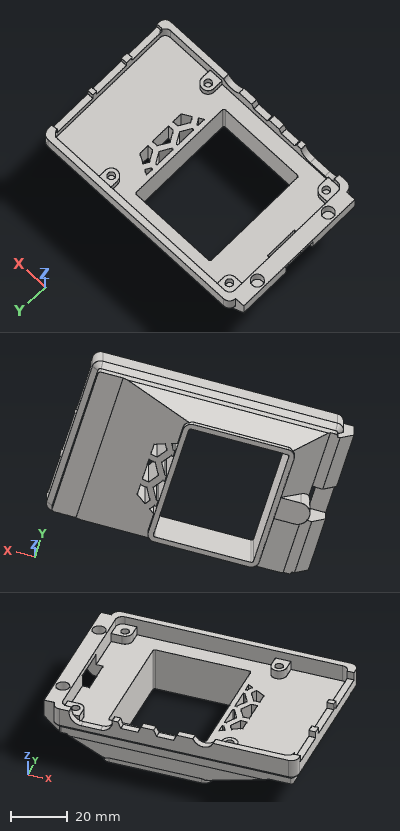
import cadquery as cq
import math

LENGTH = 96.0
WIDTH = 62.0
HEIGHT = 23.6

BODY_LEFT = 4.0
CORNER_RADIUS = 3.0
FOOT_INSET = 2.0
UPPER_WALL_HEIGHT = 7.1
TRAY_HEIGHT = 11.7
FOOT_HEIGHT = TRAY_HEIGHT - UPPER_WALL_HEIGHT - FOOT_INSET
TRAY_BOTTOM = HEIGHT - TRAY_HEIGHT
BODY_LENGTH = LENGTH - BODY_LEFT
BODY_CENTER_X = BODY_LEFT + BODY_LENGTH / 2

CAVITY_LEFT = 6.4
SIDE_WALL = 2.6
CAVITY_RIGHT = LENGTH - SIDE_WALL
CAVITY_HALF_WIDTH = WIDTH / 2 - SIDE_WALL
CAVITY_DEPTH = 6.6
CAVITY_RADIUS = 2.6
FLOOR_Z = HEIGHT - CAVITY_DEPTH

BAR_WIDTH = WIDTH - 2 * CORNER_RADIUS
BAR_FACE_HEIGHT = 6.8
BAR_UNDERCUT_X = 5.2
BAR_HOLE_DIAMETER = 4.9
BAR_HOLE_DEPTH = 5.0
BAR_HOLE_X = 3.3
BAR_HOLE_Y = 17.9

LATCH_WIDTH = 13.4
LATCH_END_X = 9.0
LATCH_ROOF_DEPTH = 2.2

RIM_LEFT = 20.1
RIM_RIGHT = 60.8
RIM_WIDTH = 48.7
RIM_HEIGHT = 1.9
WINDOW_MARGIN = 2.0
WINDOW_RADIUS = 0.8
HOOD_LEFT = 9.0
HOOD_RIGHT = 85.0
HOOD_STRAIGHT_HEIGHT = 0.7

POST_DIAMETER = 8.6
POST_X = 12.4

BOSS_DIAMETER = 5.9
BOSS_HOLE_DIAMETER = 3.0
BOSS_TOP_DEPTH = 3.2
BOSS_X = (10.6, 68.4)
BOSS_Y = 24.4

NOTCH_DEPTH = 2.5
ROUND_SLOT_LEFT = 10.7
ROUND_SLOT_RIGHT = 26.8
ROUND_SLOT_DEPTH = 5.2
ROUND_SLOT_RADIUS = 4.4
TAPERED_NOTCHES_LEFT = (29.0, 42.4)
TAPERED_NOTCH_WIDTH = 8.5
TAPERED_NOTCH_SIDE = 1.1
SCOOP_X = 61.0
SCOOP_WIDTH = 7.6

DEEP_SILL_DEPTH = 3.2

RIGHT_SILLS = (
    (-26.9, -11.8, NOTCH_DEPTH),
    (-8.9, 6.0, NOTCH_DEPTH),
    (8.0, 26.0, DEEP_SILL_DEPTH),
)

VENT_LEFT = RIM_RIGHT
VENT_RIGHT = 68.1
VENT_HALF_WIDTH_LEFT = 14.6
HEX_FLATS = 8.1
HEX_PITCH = 10.4
VENT_END_ANGLE = 30
HALF_HEX_ANGLE = math.radians(30)


def box(x_range, y_range, z_range):
    """Box between the given limits."""
    size = [high - low for low, high in (x_range, y_range, z_range)]
    return cq.Workplane("XY").box(*size, centered=False).translate((x_range[0], y_range[0], z_range[0]))


def xz_prism(points, width):
    """Outline in X and Z extruded symmetrically about the mid plane."""
    return cq.Workplane("XZ").polyline(points).close().extrude(width / 2, both=True)


def make_tray():
    upper = (
        cq.Workplane("XY", origin=(BODY_CENTER_X, 0, TRAY_BOTTOM + FOOT_HEIGHT))
        .rect(BODY_LENGTH, WIDTH)
        .extrude(UPPER_WALL_HEIGHT + FOOT_INSET)
        .edges("|Z").fillet(CORNER_RADIUS)
        .faces("<Z").chamfer(FOOT_INSET)
    )
    foot = (
        cq.Workplane("XY", origin=(BODY_CENTER_X, 0, TRAY_BOTTOM))
        .rect(BODY_LENGTH - 2 * FOOT_INSET, WIDTH - 2 * FOOT_INSET)
        .extrude(FOOT_HEIGHT)
        .edges("|Z").fillet(CORNER_RADIUS - FOOT_INSET)
    )
    bar_outline = [
        (0, HEIGHT),
        (0, HEIGHT - BAR_FACE_HEIGHT),
        (BAR_UNDERCUT_X, TRAY_BOTTOM),
        (LATCH_END_X, TRAY_BOTTOM),
        (LATCH_END_X, HEIGHT),
    ]
    return upper.union(foot).union(xz_prism(bar_outline, BAR_WIDTH))


def make_hood():
    """Four sloping sides that run on to the lowest face inside the rim."""
    slope_height = TRAY_BOTTOM - RIM_HEIGHT
    left_run = (RIM_LEFT - HOOD_LEFT) * TRAY_BOTTOM / slope_height
    right_run = (HOOD_RIGHT - RIM_RIGHT) * TRAY_BOTTOM / slope_height
    end_profile = [
        (HOOD_LEFT, TRAY_BOTTOM),
        (HOOD_RIGHT, TRAY_BOTTOM),
        (HOOD_RIGHT - right_run, 0),
        (HOOD_LEFT + left_run, 0),
    ]
    top_half = WIDTH / 2 - FOOT_INSET
    lean_top = TRAY_BOTTOM - HOOD_STRAIGHT_HEIGHT
    bottom_half = top_half - (top_half - RIM_WIDTH / 2) * lean_top / (lean_top - RIM_HEIGHT)
    side_profile = [
        (top_half, TRAY_BOTTOM),
        (top_half, lean_top),
        (bottom_half, 0),
        (-bottom_half, 0),
        (-top_half, lean_top),
        (-top_half, TRAY_BOTTOM),
    ]
    side_prism = cq.Workplane("YZ").polyline(side_profile).close().extrude(LENGTH)
    return xz_prism(end_profile, WIDTH).intersect(side_prism)


def make_rim():
    return (
        cq.Workplane("XY", origin=((RIM_LEFT + RIM_RIGHT) / 2, 0, 0))
        .rect(RIM_RIGHT - RIM_LEFT, RIM_WIDTH)
        .extrude(RIM_HEIGHT)
        .edges("|Z").fillet(CORNER_RADIUS)
    )


def make_post():
    """Round-nosed post whose flat sides run back into the hood."""
    radius = POST_DIAMETER / 2
    nose = (
        cq.Workplane("XY", origin=(POST_X, 0, RIM_HEIGHT))
        .circle(radius)
        .extrude(TRAY_BOTTOM - RIM_HEIGHT)
    )
    return nose.union(box((POST_X, RIM_LEFT), (-radius, radius), (RIM_HEIGHT, TRAY_BOTTOM)))


def make_cavity():
    return (
        cq.Workplane("XY", origin=((CAVITY_LEFT + CAVITY_RIGHT) / 2, 0, FLOOR_Z))
        .rect(CAVITY_RIGHT - CAVITY_LEFT, 2 * CAVITY_HALF_WIDTH)
        .extrude(CAVITY_DEPTH)
        .edges("|Z").fillet(CAVITY_RADIUS)
    )


def make_bosses(cavity):
    """Rounded pads joined to the long walls; the left pair also joins the end wall."""
    radius = BOSS_DIAMETER / 2
    z_range = (FLOOR_Z, HEIGHT - BOSS_TOP_DEPTH)
    bosses = cq.Workplane("XY")
    for x in BOSS_X:
        near_left_wall = x - radius < CAVITY_LEFT + radius
        for side in (-1, 1):
            y = side * BOSS_Y
            wall_y_range = sorted((y, side * CAVITY_HALF_WIDTH))
            pad = box((x - radius, x + radius), wall_y_range, z_range)
            pad = pad.union(
                cq.Workplane("XY", origin=(x, y, FLOOR_Z)).circle(radius).extrude(z_range[1] - FLOOR_Z)
            )
            if near_left_wall:
                corner_y_range = sorted((y - side * radius, side * CAVITY_HALF_WIDTH))
                pad = pad.union(box((CAVITY_LEFT, x), corner_y_range, z_range))
            bosses = bosses.add(pad)
    return bosses.combine().intersect(cavity)


def make_boss_holes():
    points = [(x, side * BOSS_Y) for x in BOSS_X for side in (-1, 1)]
    return (
        cq.Workplane("XY", origin=(0, 0, FLOOR_Z))
        .pushPoints(points)
        .circle(BOSS_HOLE_DIAMETER / 2)
        .extrude(CAVITY_DEPTH)
    )


def make_bar_holes():
    return (
        cq.Workplane("XY", origin=(0, 0, HEIGHT - BAR_HOLE_DEPTH))
        .pushPoints([(BAR_HOLE_X, -BAR_HOLE_Y), (BAR_HOLE_X, BAR_HOLE_Y)])
        .circle(BAR_HOLE_DIAMETER / 2)
        .extrude(BAR_HOLE_DEPTH)
    )


def make_latch_slot():
    half = LATCH_WIDTH / 2
    return box((0, LATCH_END_X), (-half, half), (TRAY_BOTTOM, HEIGHT - LATCH_ROOF_DEPTH))


def make_window():
    left = RIM_LEFT + WINDOW_MARGIN
    right = RIM_RIGHT - WINDOW_MARGIN
    return (
        cq.Workplane("XY", origin=((left + right) / 2, 0, 0))
        .rect(right - left, RIM_WIDTH - 2 * WINDOW_MARGIN)
        .extrude(HEIGHT)
        .edges("|Z").fillet(WINDOW_RADIUS)
    )


def front_wall_sketch():
    """Plane on the front face; local X is X and local Y is Z."""
    return cq.Workplane("XZ", origin=(0, -WIDTH / 2, 0))


def make_front_openings():
    slot_bottom = HEIGHT - ROUND_SLOT_DEPTH
    arc_z = slot_bottom + ROUND_SLOT_RADIUS
    slot = (
        front_wall_sketch()
        .moveTo(ROUND_SLOT_LEFT, HEIGHT)
        .lineTo(ROUND_SLOT_LEFT, arc_z)
        .radiusArc((ROUND_SLOT_LEFT + ROUND_SLOT_RADIUS, slot_bottom), -ROUND_SLOT_RADIUS)
        .lineTo(ROUND_SLOT_RIGHT - ROUND_SLOT_RADIUS, slot_bottom)
        .radiusArc((ROUND_SLOT_RIGHT, arc_z), -ROUND_SLOT_RADIUS)
        .lineTo(ROUND_SLOT_RIGHT, HEIGHT)
        .close()
        .extrude(-SIDE_WALL)
    )
    scoop = (
        front_wall_sketch()
        .moveTo(SCOOP_X - SCOOP_WIDTH / 2, HEIGHT)
        .threePointArc((SCOOP_X, HEIGHT - NOTCH_DEPTH), (SCOOP_X + SCOOP_WIDTH / 2, HEIGHT))
        .close()
        .extrude(-SIDE_WALL)
    )
    openings = slot.union(scoop)
    for left in TAPERED_NOTCHES_LEFT:
        right = left + TAPERED_NOTCH_WIDTH
        outline = [
            (left, HEIGHT),
            (left + TAPERED_NOTCH_SIDE, HEIGHT - NOTCH_DEPTH),
            (right - TAPERED_NOTCH_SIDE, HEIGHT - NOTCH_DEPTH),
            (right, HEIGHT),
        ]
        openings = openings.union(front_wall_sketch().polyline(outline).close().extrude(-SIDE_WALL))
    return openings


def make_right_openings():
    openings = cq.Workplane("XY")
    for start, end, depth in RIGHT_SILLS:
        openings = openings.add(box((CAVITY_RIGHT, LENGTH), (start, end), (HEIGHT - depth, HEIGHT)))
    return openings.combine()


def make_vents():
    """Two columns of a honeycomb, trimmed to a strip with sloping ends."""
    column_pitch = HEX_PITCH * math.cos(HALF_HEX_ANGLE)
    hex_diameter = HEX_FLATS / math.cos(HALF_HEX_ANGLE)
    right_column = [(VENT_RIGHT, row * HEX_PITCH) for row in (-1, 0, 1)]
    left_column = [(VENT_RIGHT - column_pitch, row * HEX_PITCH) for row in (-1.5, -0.5, 0.5, 1.5)]
    honeycomb = (
        cq.Workplane("XY")
        .pushPoints(right_column + left_column)
        .polygon(6, hex_diameter)
        .extrude(HEIGHT)
    )
    drop = (VENT_RIGHT - VENT_LEFT) * math.tan(math.radians(VENT_END_ANGLE))
    right_half = VENT_HALF_WIDTH_LEFT - drop
    outline = [
        (VENT_LEFT, -VENT_HALF_WIDTH_LEFT),
        (VENT_RIGHT, -right_half),
        (VENT_RIGHT, right_half),
        (VENT_LEFT, VENT_HALF_WIDTH_LEFT),
    ]
    strip = cq.Workplane("XY").polyline(outline).close().extrude(HEIGHT)
    return honeycomb.intersect(strip)


cavity = make_cavity()
body = make_tray().cut(cavity).cut(make_latch_slot())
body = body.union(make_hood()).union(make_rim()).union(make_post())
body = body.union(make_bosses(cavity))
for opening in (
    make_boss_holes(),
    make_bar_holes(),
    make_window(),
    make_front_openings(),
    make_right_openings(),
    make_vents(),
):
    body = body.cut(opening)

result = body